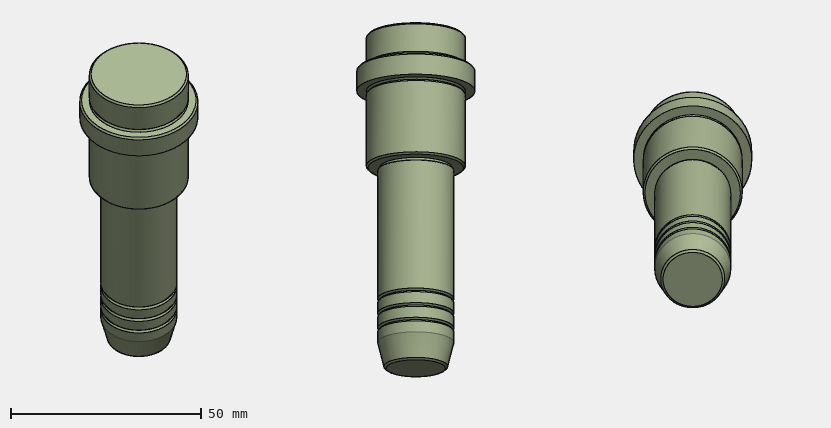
import cadquery as cq

total_height = 91.0
taper_height = 7.0
land_height = 3.0
groove_width = 1.0
groove_depth = groove_width / 2
relief_width = 0.8
groove_count = 3
groove_pitch = land_height + groove_width
first_groove_z = taper_height + land_height + groove_width / 2
flange_height = 6.0
head_height = 9.0
shoulder_depth = 36.0
flange_top = total_height - head_height
flange_bottom = flange_top - flange_height
shoulder_z = total_height - shoulder_depth

tip_radius = 8.3
shank_radius = 10.0
body_radius = 13.0
flange_radius = 15.52

edge_chamfer = 0.5


def cylinder(radius, bottom, top):
    return cq.Workplane("XY").workplane(offset=bottom).circle(radius).extrude(top - bottom)


def ring_groove(radius, center_z):
    """V-shaped ring with its widest part on a cylindrical surface."""
    return (
        cq.Workplane("XZ")
        .moveTo(radius, center_z - groove_width / 2)
        .lineTo(radius - groove_depth, center_z)
        .lineTo(radius, center_z + groove_width / 2)
        .close()
        .revolve(360, (0, 0, 0), (0, 1, 0))
    )


tip = (
    cq.Workplane("XY")
    .circle(tip_radius)
    .workplane(offset=taper_height)
    .circle(shank_radius)
    .loft(ruled=True)
    .faces("<Z")
    .chamfer(edge_chamfer)
)
shank = cylinder(shank_radius, taper_height, shoulder_z)
for index in range(groove_count):
    shank = shank.cut(ring_groove(shank_radius, first_groove_z + index * groove_pitch))

shank = shank.cut(
    cylinder(shank_radius, shoulder_z - relief_width, shoulder_z)
    .cut(cylinder(shank_radius - groove_depth, shoulder_z - relief_width, shoulder_z))
)

body = cylinder(body_radius, shoulder_z, total_height).faces("<Z or >Z").chamfer(edge_chamfer)
body = body.cut(ring_groove(body_radius, flange_bottom - groove_width / 2))
body = body.cut(ring_groove(body_radius, flange_top + groove_width / 2))

flange = cylinder(flange_radius, flange_bottom, flange_top).faces(">Z").chamfer(edge_chamfer)

result = tip.union(shank).union(body).union(flange)